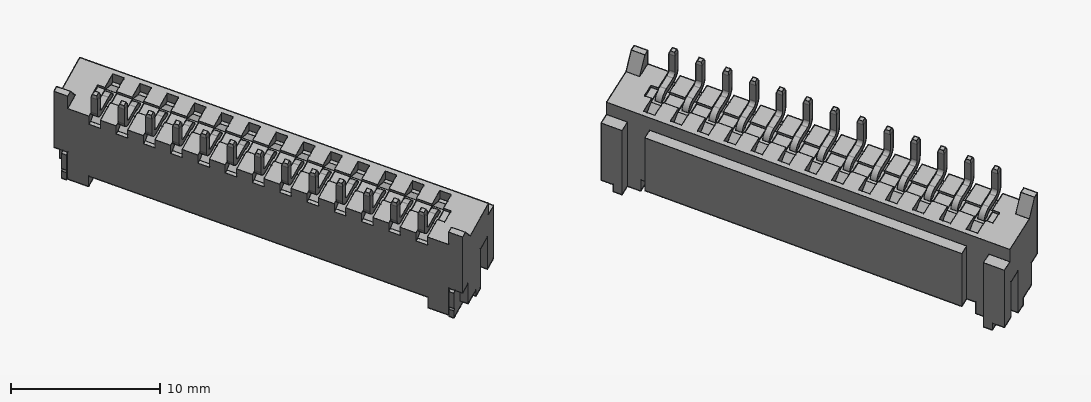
import cadquery as cq

length = 30.0
depth = 5.1
top_z = 7.85
step_y = 4.25
step_z = 6.6
end_x = -length / 2

ear_width = 1.02
ear_z = 9.25
ear_top_depth = 0.45
ear_base_depth = 1.25
leg_width = 2.55
leg_height = 1.17

back_panel_width = 23.58
back_panel_recess = 0.1
back_notch_outer = 1.55

guide_slot_depth = 0.9
guide_slot_y = 2.97
guide_slot_width = 1.1
guide_slot_z = 4.35
guide_step_z = 0.72

clip_pocket_z = 3.0
clip_pocket_depth = 0.9
clip_foot_depth = 2.2
clip_foot_z = 0.72
clip_inset = 0.6
clip_thickness = 0.35
clip_bevel_width = 0.55
clip_bevel_height = 0.25
clip_nick_z = (0.8, 1.08)
clip_nick_depth = 0.1
clip_heel_y = 1.55
clip_heel_lift = 0.1

pin_count = 13
pin_row_length = 24.0
pin_pitch = pin_row_length / (pin_count - 1)
pin_width = 0.48
pin_thickness = 0.48
pin_tip_z = 10.45
pin_proud = 0.1
pin_top_z = 8.22
bend_inner_radius = 0.3
bend_outer_radius = bend_inner_radius + pin_thickness
pin_back_y = 2.52
pin_root_z = 6.0
tip_taper_height = 0.27
tip_taper = 0.075

strip_length = 25.92
strip_y = (1.62, 2.65)
strip_depth = 0.2
pocket_width = 0.85
pocket_back_y = 3.9
pocket_low_z = 6.95
pocket_mid_z = 7.55
pocket_flat = 0.27
pocket_ramp_y = (1.45, 2.73)


def block(x, y, z):
    """Axis-aligned box from (low, high) pairs."""
    size = (x[1] - x[0], y[1] - y[0], z[1] - z[0])
    return cq.Workplane("XY").box(*size, centered=False).translate((x[0], y[0], z[0]))


def plate(outline, x_low, x_high):
    """Extrude a closed YZ outline between two X positions."""
    return outline.close().extrude(x_high - x_low).translate((x_low, 0, 0))


def at_both_ends(shape):
    """Join a shape at the low X end with its mirror image at the high X end."""
    return shape.union(shape.mirror("YZ"))


def make_housing():
    profile = cq.Workplane("YZ").polyline([
        (0, 0), (depth, 0), (depth, step_z), (step_y, step_z), (step_y, top_z), (0, top_z),
    ])
    body = plate(profile, end_x, -end_x)

    ear_profile = cq.Workplane("YZ").polyline([
        (0, 0), (ear_base_depth, 0), (ear_base_depth, top_z), (ear_top_depth, ear_z), (0, ear_z),
    ])
    body = body.union(at_both_ends(plate(ear_profile, end_x, end_x + ear_width)))

    half_gap = length / 2 - leg_width
    body = body.cut(block((-half_gap, half_gap), (0, depth), (0, leg_height)))

    half_panel = back_panel_width / 2
    body = body.cut(block((-half_panel, half_panel), (depth - back_panel_recess, depth), (0, step_z)))
    notch_x = (end_x + back_notch_outer, -half_panel)
    return body.cut(at_both_ends(block(notch_x, (step_y, depth), (0, step_z))))


def make_guide_slots():
    slot_x = (end_x, end_x + guide_slot_depth)
    slot = block(slot_x, (guide_slot_y, guide_slot_y + guide_slot_width), (0, guide_slot_z))
    step = block(slot_x, (guide_slot_y, depth), (0, guide_step_z))
    return at_both_ends(slot.union(step))


def make_clip_pockets():
    pocket_x = (end_x, end_x + ear_width)
    upper = block(pocket_x, (0, clip_pocket_depth), (0, clip_pocket_z))
    foot = block(pocket_x, (0, clip_foot_depth), (0, clip_foot_z))
    return at_both_ends(upper.union(foot))


def make_clips():
    front = -pin_proud
    nick_middle_z = sum(clip_nick_z) / 2
    outline = cq.Workplane("YZ").polyline([
        (front, 0), (clip_heel_y, 0), (clip_heel_y, clip_heel_lift),
        (clip_foot_depth, clip_heel_lift), (clip_foot_depth, clip_foot_z),
        (clip_pocket_depth, clip_foot_z), (clip_pocket_depth, clip_pocket_z),
        (front + clip_bevel_width, clip_pocket_z), (front, clip_pocket_z - clip_bevel_height),
        (front, clip_nick_z[1]), (front + clip_nick_depth, nick_middle_z), (front, clip_nick_z[0]),
    ])
    clip_x = end_x + clip_inset
    return at_both_ends(plate(outline, clip_x, clip_x + clip_thickness))


def make_contact_pocket():
    """Trough through the top and front, with a ramp down to a level floor at each end."""
    outline = cq.Workplane("YZ").polyline([
        (0, ear_z), (0, pocket_low_z), (pocket_flat, pocket_low_z),
        (pocket_ramp_y[0], pocket_mid_z), (pocket_ramp_y[1], pocket_mid_z),
        (pocket_back_y - pocket_flat, pocket_low_z), (pocket_back_y, pocket_low_z),
        (pocket_back_y, ear_z),
    ])
    return plate(outline, -pocket_width / 2, pocket_width / 2)


def make_pin():
    """Bent contact: buried leg, arm along the top, and an upright solder tail with a tapered tip."""
    front = -pin_proud
    taper_z = pin_tip_z - tip_taper_height
    arm_bottom_z = pin_top_z - pin_thickness
    tail_bend_y = front + bend_outer_radius
    tail_bend_z = arm_bottom_z + bend_outer_radius
    leg_bend_y = pin_back_y - bend_outer_radius
    leg_bend_z = pin_top_z - bend_outer_radius
    outline = (
        cq.Workplane("YZ")
        .moveTo(front, taper_z)
        .lineTo(front, tail_bend_z)
        .radiusArc((tail_bend_y, arm_bottom_z), -bend_outer_radius)
        .lineTo(leg_bend_y, arm_bottom_z)
        .radiusArc((leg_bend_y + bend_inner_radius, leg_bend_z), bend_inner_radius)
        .lineTo(pin_back_y - pin_thickness, pin_root_z)
        .lineTo(pin_back_y, pin_root_z)
        .lineTo(pin_back_y, leg_bend_z)
        .radiusArc((leg_bend_y, pin_top_z), -bend_outer_radius)
        .lineTo(tail_bend_y, pin_top_z)
        .radiusArc((front + pin_thickness, tail_bend_z), bend_inner_radius)
        .lineTo(front + pin_thickness, taper_z)
    )
    tip = (
        cq.Workplane("XY", origin=(0, front + pin_thickness / 2, taper_z))
        .rect(pin_width, pin_thickness)
        .workplane(offset=tip_taper_height)
        .rect(pin_width - 2 * tip_taper, pin_thickness - 2 * tip_taper)
        .loft()
    )
    return plate(outline, -pin_width / 2, pin_width / 2).union(tip)


strip_slot = block((-strip_length / 2, strip_length / 2), strip_y, (top_z - strip_depth, top_z))
result = make_housing().cut(make_guide_slots()).cut(make_clip_pockets()).cut(strip_slot)
result = result.union(make_clips())

contact_places = [((i - (pin_count - 1) / 2) * pin_pitch, 0, 0) for i in range(pin_count)]
pocket = make_contact_pocket()
pin = make_pin()
for place in contact_places:
    result = result.cut(pocket.translate(place))
    result = result.union(pin.translate(place))